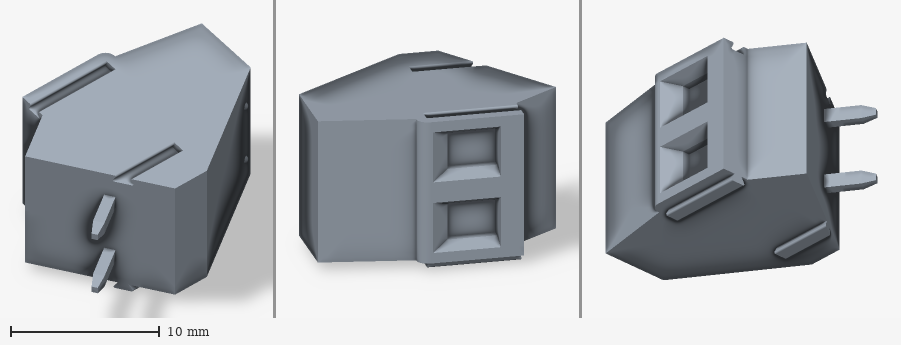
import cadquery as cq
import math


pitch = 5.08
poles = 2
housing_height = poles * pitch
housing_width = 12.1
apex_x = 7.75
apex_y = 15.49
right_wall_top_y = 12.45
corner_cut_x = 1.56
slant_angle = 55.0
entry_corner = (-1.8, 5.33)
entry_face_length = 6.49
lip_radius = 0.8
lip_end_angle = 52.0

dovetail_height = 0.59
rail_root_width = 0.6
dovetail_flank_angle = 30.0
dovetail_edge_radius = 0.11
dovetail_clearance = 0.04
dovetail_runs = [(1.33, 6.5), (10.18, 5.33)]
dovetail_overrun = 9.52

funnel_start = 1.62
funnel_length = 4.68
funnel_height = 3.6
funnel_side_inset = 0.5
funnel_end_inset = 1.22
funnel_depth = 0.99
funnel_pocket_depth = 0.57

pin_x = 5.95
pin_width = 0.8
pin_thickness = 1.0
pin_length = 3.54
pin_straight_length = 2.57
pin_tip_width = 0.44
pin_tip_thickness = 0.51

screw_tip_y = 11.2
screw_tip_radius = 0.29
screw_tip_height = 0.19

slant = math.radians(slant_angle)
along = cq.Vector(math.cos(slant), math.sin(slant), 0)
inward = cq.Vector(math.sin(slant), -math.cos(slant), 0)
pole_heights = [(i + 0.5) * pitch for i in range(poles)]


def slanted_point(depth, distance, z=0.0):
    """Point given by its depth behind the entry face and distance along it."""
    return cq.Vector(*entry_corner, z) + inward * depth + along * distance


def prism(bottom, top):
    """Housing outline extruded between two heights."""
    lip_center = slanted_point(lip_radius, entry_face_length)

    def lip_point(degrees):
        angle = math.radians(degrees)
        return (lip_center.x + lip_radius * math.cos(angle),
                lip_center.y + lip_radius * math.sin(angle))

    lip_start_angle = slant_angle + 90
    step_y = entry_corner[1] + entry_corner[0] / math.tan(slant)
    return (
        cq.Workplane("XY", origin=(0, 0, bottom))
        .moveTo(0, 0)
        .lineTo(0, step_y)
        .lineTo(*entry_corner)
        .lineTo(*lip_point(lip_start_angle))
        .threePointArc(lip_point((lip_start_angle + lip_end_angle) / 2), lip_point(lip_end_angle))
        .lineTo(apex_x, apex_y)
        .lineTo(housing_width, right_wall_top_y)
        .lineTo(housing_width, corner_cut_x * math.tan(slant))
        .lineTo(housing_width - corner_cut_x, 0)
        .close()
        .extrude(top - bottom)
    )


def dovetail_bar(run, top_z, clearance=0.0):
    """Bar parallel to the entry face that widens downward and has rounded foot edges."""
    depth, inner_end = run
    origin = slanted_point(depth, inner_end + clearance, top_z)
    root = rail_root_width / 2 + clearance
    foot = root + dovetail_height * math.tan(math.radians(dovetail_flank_angle))
    return (
        cq.Workplane(cq.Plane(origin=origin, xDir=inward, normal=-along))
        .polyline([(-root, 0), (-foot, -dovetail_height), (foot, -dovetail_height), (root, 0)])
        .close()
        .extrude(dovetail_overrun)
        .faces("<Z")
        .edges(cq.selectors.ParallelDirSelector(along))
        .fillet(dovetail_edge_radius)
    )


def add_rail(body, run):
    """Add a rail under the housing, trimmed to the housing outline."""
    return body.union(dovetail_bar(run, 0).intersect(prism(-dovetail_height, 0)))


def cut_groove(body, run):
    """Cut a groove into the top face and round its two long lips."""
    run_depth = run[0]

    def is_lip(edge):
        edge_depth = (edge.Center() - slanted_point(0, 0)).dot(inward)
        return abs(edge_depth - run_depth) < rail_root_width

    return (
        body.cut(dovetail_bar(run, housing_height, dovetail_clearance))
        .faces(">Z")
        .edges(cq.selectors.ParallelDirSelector(along))
        .filter(is_lip)
        .fillet(dovetail_edge_radius)
    )


def wire_funnel(z):
    """Wire entry with three sloping walls and one straight wall, ending in a straight pocket."""
    throat_length = funnel_length - funnel_end_inset
    throat_height = funnel_height - 2 * funnel_side_inset
    mouth_center = slanted_point(0, funnel_start + funnel_length / 2, z)
    throat_center = slanted_point(funnel_depth, funnel_start + throat_length / 2, z)
    mouth = (
        cq.Workplane(cq.Plane(origin=mouth_center, xDir=along, normal=inward))
        .rect(funnel_length, funnel_height)
        .workplane(offset=funnel_depth)
        .center(-funnel_end_inset / 2, 0)
        .rect(throat_length, throat_height)
        .loft()
    )
    pocket = (
        cq.Workplane(cq.Plane(origin=throat_center, xDir=along, normal=inward))
        .rect(throat_length, throat_height)
        .extrude(funnel_pocket_depth)
    )
    return mouth.union(pocket)


def solder_pin(z):
    """Rectangular pin with a tapered end, pointing to -Y."""
    shank = (
        cq.Workplane("XZ", origin=(pin_x, 0, z))
        .rect(pin_width, pin_thickness)
        .extrude(pin_straight_length)
    )
    tip = (
        cq.Workplane("XZ", origin=(pin_x, -pin_straight_length, z))
        .rect(pin_width, pin_thickness)
        .workplane(offset=pin_length - pin_straight_length)
        .rect(pin_tip_width, pin_tip_thickness)
        .loft()
    )
    return shank.union(tip)


def screw_tip(z):
    """Shallow spherical dome standing on the right wall."""
    sphere_radius = (screw_tip_radius**2 + screw_tip_height**2) / (2 * screw_tip_height)
    return (
        cq.Workplane("XY", origin=(housing_width, screw_tip_y, z))
        .lineTo(0, screw_tip_radius)
        .radiusArc((screw_tip_height, 0), sphere_radius)
        .close()
        .revolve(360, (0, 0), (1, 0))
    )


result = prism(0, housing_height)
for run in dovetail_runs:
    result = cut_groove(add_rail(result, run), run)
for z in pole_heights:
    result = result.cut(wire_funnel(z)).union(solder_pin(z)).union(screw_tip(z))